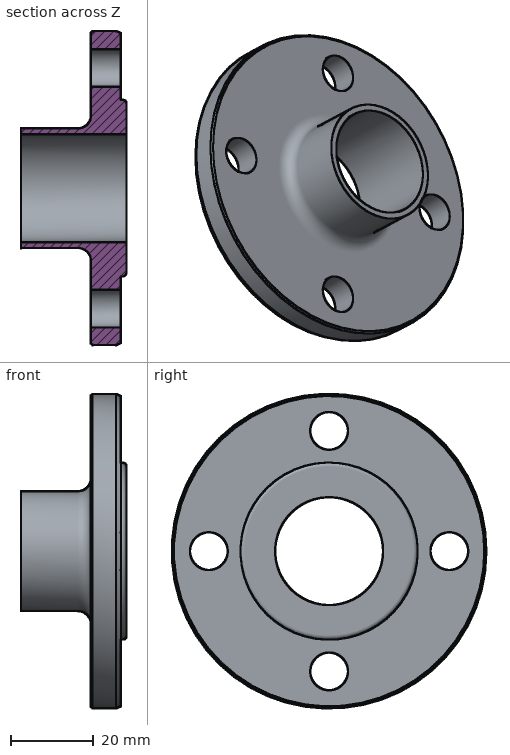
import cadquery as cq

flange_diameter = 76.0
flange_thickness = 7.3
rear_edge_chamfer = 0.45
front_chamfer_length = 1.15
front_chamfer_depth = 0.5

hub_diameter = 29.0
hub_length = 16.9
hub_fillet = 3.05
bore_diameter = 26.0

face_diameter = 42.8
face_height = 1.4
face_edge_fillet = 1.0

bolt_circle_diameter = 58.1
bolt_hole_diameter = 9.05
bolt_count = 4

flange_end = hub_length + flange_thickness
total_length = flange_end + face_height


def revolve_about_x(outline):
    """Full turn of an XY outline about the X axis."""
    return outline.close().revolve(360, (0, 0, 0), (1, 0, 0))


flange_radius = flange_diameter / 2
flange = revolve_about_x(
    cq.Workplane("XY")
    .moveTo(hub_length, 0)
    .lineTo(hub_length, flange_radius - rear_edge_chamfer)
    .lineTo(hub_length + rear_edge_chamfer, flange_radius)
    .lineTo(flange_end - front_chamfer_length, flange_radius)
    .lineTo(flange_end, flange_radius - front_chamfer_depth)
    .lineTo(flange_end, 0)
)

face_radius = face_diameter / 2
raised_face = revolve_about_x(
    cq.Workplane("XY")
    .moveTo(flange_end, 0)
    .lineTo(flange_end, face_radius)
    .lineTo(total_length - face_edge_fillet, face_radius)
    .radiusArc((total_length, face_radius - face_edge_fillet), face_edge_fillet)
    .lineTo(total_length, 0)
)

hub_radius = hub_diameter / 2
fillet_start = hub_length - hub_fillet
hub = revolve_about_x(
    cq.Workplane("XY")
    .lineTo(0, hub_radius)
    .lineTo(fillet_start, hub_radius)
    .radiusArc((hub_length, hub_radius + hub_fillet), -hub_fillet)
    .lineTo(hub_length, 0)
)

bore = cq.Workplane("YZ").circle(bore_diameter / 2).extrude(total_length)

bolt_holes = (
    cq.Workplane("YZ", origin=(hub_length, 0, 0))
    .polarArray(bolt_circle_diameter / 2, 0, 360, bolt_count)
    .circle(bolt_hole_diameter / 2)
    .extrude(flange_thickness)
)

result = hub.union(flange).union(raised_face).cut(bore).cut(bolt_holes)